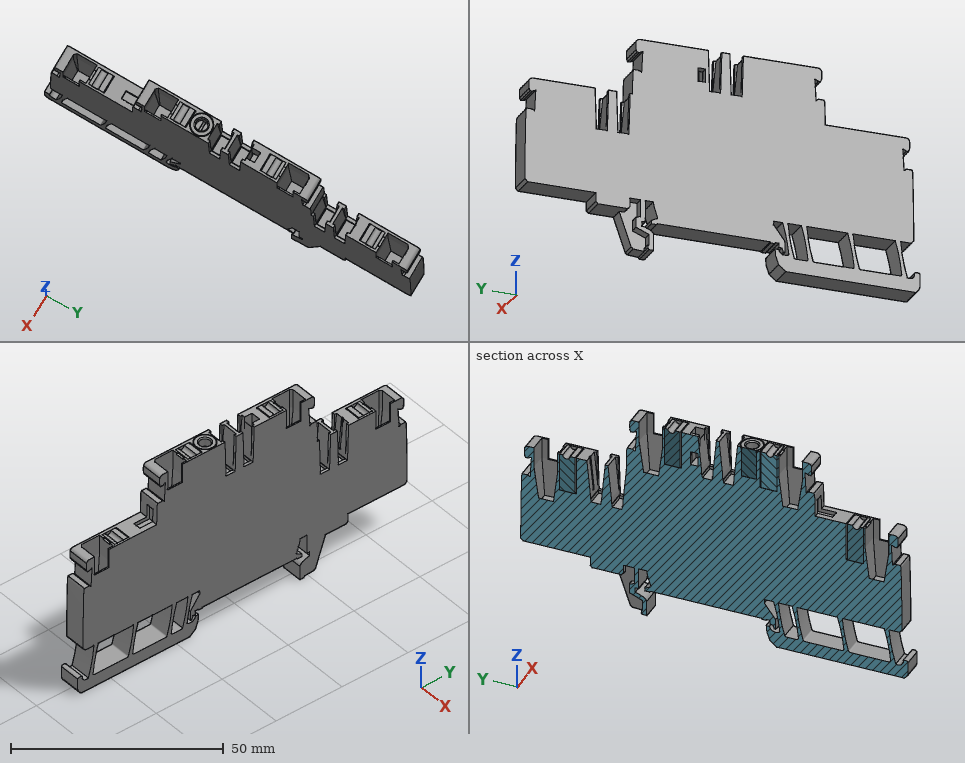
import cadquery as cq
import math


WIDTH = 6.1
LENGTH = 99.98
HEIGHT = 53.61

SHELF_Z = 39.3
BASE_Z = 12.45
LEVEL_STEP = HEIGHT - SHELF_Z

BASE_OVERHANG = 1.0
LIP_CORNER_RUN = 1.1
LIP_CORNER_DROP = 0.7
LIP_SETBACK = 0.05
LIP_UNDERCUT = 0.6
LIP_DROP = 3.4
NOTCH_DROP = 8.0
NOTCH_DEPTH = 1.75
NOTCH_HOOK = 0.4
BASE_SHOULDER = 0.6
BASE_BULGE = 0.25
BASE_CORNER = 0.7

LOWER_FRONT_LIP = 2.6
LOWER_REAR_LIP = LENGTH - BASE_OVERHANG
UPPER_FRONT_LIP = 24.85
UPPER_REAR_LIP = 71.9

SLOT_DEPTH = 10.45
SLOT_CORE_EXTRA = 0.8
SLOT_PAIR_SHIFT = 28.65
SLOT_PITCH = 5.45
SLOT_FIRST_Y = 80.5
SLOT_MOUTH = 3.4
SLOT_FLOOR = 2.75
SLOT_CORE_FLOOR = 2.4
SLOT_CORE_MOUTH = 4.6
SLOT_CORE_X = (0.9, 5.3)
SLIT_X = (2.75, 3.3)
SLIT_DEPTH = 0.2
SLIT_FLOOR_GAP = 1.5

ENTRY_START = 2.5
ENTRY_END = 8.5
ENTRY_X = (0.6, 5.7)
ENTRY_FLOOR_X = (1.25, 4.6)
ENTRY_TAPER = 1.2
ENTRY_CORNER = 0.6
ENTRY_FLOOR_CORNER = 0.15
ENTRY_DEPTH = 15.0
WINDOW_LENGTH = 4.4
WINDOW_DEPTH = 5.5
KEY_X = (1.9, 4.4)
KEY_DEPTH = 0.4

BUTTON_START = 9.1
BUTTON_LENGTH = 4.05
BUTTON_GAP = 0.25
BUTTON_X = (0.85, 5.5)
BUTTON_DEPTH = 10.0
BUTTON_GROOVE_AT = 1.75
BUTTON_GROOVE_R = 0.9

SOCKET_Y = 41.1
SOCKET_X = WIDTH / 2
SOCKET_R = 2.65
SOCKET_MOUTH_R = 2.85
SOCKET_MOUTH_DEPTH = 1.0
SOCKET_DEPTH = 8.0
SOCKET_BORE_R = 1.5
SOCKET_BORE_CHAMFER = 0.3
SCREW_RECESS = 2.5
SCREW_SLOT_WIDTH = 0.6
SCREW_SLOT_DEPTH = 0.8

LABEL_X = (1.8, 4.6)
LABEL_Y = (54.0, 56.4)
LABEL_FLOOR_Z = 45.3
LABEL_INSET = 0.25
LABEL_WINDOW_HEIGHT = 3.4
STEP_SLOT_X = (2.4, 4.6)
STEP_SLOT_Y = 20.1
STEP_SLOT_Z = 43.0
STEP_SLOT_DEPTH = 1.0

LEG_FILLET = 0.4
BAR_TOP_Z = 3.6
LEG_TOPS_Y = (34.15, 29.4, 17.7, 5.65)
LEG_LEAN = 1.75
LEG_END_THICKNESS = 1.4
LEG_WAIST_THICKNESS = 0.9

WEB_X = 2.3

TERMINALS = (
    (LOWER_REAR_LIP, -1, SHELF_Z),
    (UPPER_REAR_LIP, -1, HEIGHT),
    (UPPER_FRONT_LIP, 1, HEIGHT),
    (LOWER_FRONT_LIP, 1, SHELF_Z),
)


def plate(points, x_start=0.0, x_end=WIDTH):
    """Closed Y-Z outline extruded between two X positions."""
    outline = cq.Workplane("YZ", origin=(x_start, 0, 0)).polyline(points).close()
    return outline.extrude(x_end - x_start)


def block(x_range, y_range, z_range):
    """Box between two limits on each axis."""
    low = [min(limits) for limits in (x_range, y_range, z_range)]
    high = [max(limits) for limits in (x_range, y_range, z_range)]
    size = [b - a for a, b in zip(low, high)]
    return cq.Workplane("XY").box(*size, centered=False).translate(tuple(low))


def level_body(front_lip, rear_lip, top_z, bottom_z):
    """One terminal level with a rounded lip, a notch and a slightly curved base at each end."""
    base_drop = top_z - bottom_z - BASE_CORNER
    shoulder_drop = NOTCH_DROP + BASE_SHOULDER
    shoulder_out = BASE_OVERHANG - BASE_BULGE

    def rear(along, drop):
        return (rear_lip - along, top_z - drop)

    def front(along, drop):
        return (front_lip + along, top_z - drop)

    corner_end = (LIP_SETBACK, LIP_CORNER_DROP)
    corner_run = LIP_CORNER_RUN - LIP_SETBACK
    corner_radius = (corner_run ** 2 + LIP_CORNER_DROP ** 2) / (2 * LIP_CORNER_DROP)
    half_angle = math.asin(corner_run / corner_radius) / 2
    corner_middle = (
        LIP_CORNER_RUN - corner_radius * math.sin(half_angle),
        corner_radius * (1 - math.cos(half_angle)),
    )
    lip_end = (LIP_SETBACK, LIP_DROP - LIP_UNDERCUT)
    lip_middle = (0, (LIP_CORNER_DROP + lip_end[1]) / 2)
    notch = (
        (0.3, LIP_DROP),
        (NOTCH_DEPTH / 2, LIP_DROP),
        (NOTCH_DEPTH, LIP_DROP - NOTCH_HOOK),
        (NOTCH_DEPTH - 0.3, NOTCH_DROP + NOTCH_HOOK),
        (NOTCH_DEPTH / 2, NOTCH_DROP),
        (0.2 - shoulder_out, NOTCH_DROP),
        (-shoulder_out, shoulder_drop),
    )
    bulge_middle = (-BASE_OVERHANG + BASE_BULGE / 4, (shoulder_drop + base_drop) / 2)
    base_end = (-BASE_OVERHANG, base_drop)
    bottom = (BASE_CORNER - BASE_OVERHANG, base_drop + BASE_CORNER)

    outline = (
        cq.Workplane("YZ")
        .moveTo(*rear(LIP_CORNER_RUN, 0))
        .threePointArc(rear(*corner_middle), rear(*corner_end))
        .threePointArc(rear(*lip_middle), rear(*lip_end))
    )
    for point in notch:
        outline = outline.lineTo(*rear(*point))
    outline = outline.threePointArc(rear(*bulge_middle), rear(*base_end)).lineTo(*rear(*bottom))
    outline = outline.lineTo(*front(*bottom)).lineTo(*front(*base_end))
    outline = outline.threePointArc(front(*bulge_middle), front(*notch[-1]))
    for point in notch[-2::-1]:
        outline = outline.lineTo(*front(*point))
    outline = (
        outline.lineTo(*front(*lip_end))
        .threePointArc(front(*lip_middle), front(*corner_end))
        .threePointArc(front(*corner_middle), front(LIP_CORNER_RUN, 0))
    )
    return outline.close().extrude(WIDTH)


def support_block():
    """Pad below the housing behind the rail latch."""
    return plate([
        (82.05, BASE_Z), (82.05, 10.2), (81.5, 9.67), (74.0, 9.67), (73.4, 10.25), (73.4, BASE_Z),
    ])


def rail_seat():
    """Part of the housing that rests on the rail, with the catch nose and the hook."""
    return plate([
        (67.5, BASE_Z), (67.3, 11.2), (66.4, 8.4), (68.0, 7.6), (68.0, 6.75), (66.7, 6.75), (66.5, 7.0),
        (37.9, 7.0), (37.8, 6.75), (36.7, 6.75), (36.6, 7.0), (35.7, 7.0), (35.7, 5.95), (35.0, 5.9),
        (34.6, 4.9), (34.2, 4.9), (34.2, 7.7), (37.1, 11.6), (37.0, BASE_Z),
    ])


def rail_latch():
    """Cranked latch arm with a rib along its rear side."""
    arm = (
        cq.Workplane("YZ")
        .polyline([(71.9, 7.8), (70.7, 8.15), (70.7, BASE_Z), (69.5, BASE_Z), (69.5, 6.95), (70.4, 6.95),
                   (70.4, 5.8), (69.65, 5.65), (68.6, 5.2)])
        .threePointArc((67.8, 4.7), (67.4, 4.1))
        .lineTo(67.4, 0)
        .lineTo(68.6, 0)
        .lineTo(68.9, 0.4)
        .lineTo(68.9, 1.2)
        .lineTo(68.6, 1.2)
        .lineTo(68.6, 3.9)
        .lineTo(71.9, 5.2)
        .close()
        .extrude(WIDTH)
    )
    web = plate([
        (75.2, BASE_Z), (75.2, 9.6), (72.2, 1.05), (71.7, 0.6), (69.9, 0.5), (68.9, 0.4), (68.5, 1.2),
        (68.5, 3.9), (71.8, 5.2), (71.8, 7.8), (70.6, 8.15), (70.6, BASE_Z),
    ], WEB_X)
    return arm.union(web)


def foot_bar():
    """Long foot below the front of the housing with an upturned end and a hook pocket."""
    return (
        cq.Workplane("YZ")
        .moveTo(1.1, 0)
        .lineTo(34.0, 0)
        .lineTo(35.8, 1.5)
        .lineTo(36.55, BAR_TOP_Z)
        .lineTo(36.7, 5.4)
        .lineTo(35.8, 5.4)
        .threePointArc((34.5, 4.2), (33.0, 4.7))
        .lineTo(31.5, BAR_TOP_Z)
        .lineTo(3.4, BAR_TOP_Z)
        .threePointArc((2.4, 3.4), (1.4, 4.9))
        .threePointArc((0.9, 5.15), (0, 4.8))
        .lineTo(0, 1.9)
        .threePointArc((0.35, 0.75), (1.1, 0))
        .close()
        .extrude(WIDTH)
    )


def spring_leg(top_y):
    """Leaning leg that thins towards its middle."""
    overlap = 0.2
    top_z = BASE_Z + overlap
    bottom_z = BAR_TOP_Z - overlap
    half_end = LEG_END_THICKNESS / 2
    half_waist = LEG_WAIST_THICKNESS / 2
    bottom_y = top_y - LEG_LEAN
    middle_y = (top_y + bottom_y) / 2
    middle_z = (top_z + bottom_z) / 2
    return (
        cq.Workplane("YZ")
        .moveTo(top_y + half_end, top_z)
        .threePointArc((middle_y + half_waist, middle_z), (bottom_y + half_end, bottom_z))
        .lineTo(bottom_y - half_end, bottom_z)
        .threePointArc((middle_y - half_waist, middle_z), (top_y - half_end, top_z))
        .close()
        .extrude(WIDTH)
    )


def fillet_legs(body):
    """Round the corners where the legs meet the foot bar between the windows."""
    margin = 0.1
    first_y = LEG_TOPS_Y[-1] - LEG_LEAN
    last_y = LEG_TOPS_Y[0] - LEG_LEAN
    corners = cq.selectors.BoxSelector(
        (0, first_y, BAR_TOP_Z - margin), (WIDTH, last_y, BAR_TOP_Z + margin))
    return body.edges("|X").edges(corners).fillet(LEG_FILLET)


def jumper_slot(center_y, top_z):
    """Tapered slot through both side walls with a wider core between them."""
    def wedge(mouth, floor, depth, x_range):
        floor_z = top_z - depth
        return plate([
            (center_y - mouth / 2, top_z), (center_y - floor / 2, floor_z),
            (center_y + floor / 2, floor_z), (center_y + mouth / 2, top_z),
        ], *x_range)

    through = wedge(SLOT_MOUTH, SLOT_FLOOR, SLOT_DEPTH, (0, WIDTH))
    core = wedge(SLOT_CORE_MOUTH, SLOT_CORE_FLOOR, SLOT_DEPTH + SLOT_CORE_EXTRA, SLOT_CORE_X)
    return through.union(core)


def wall_slit():
    """Narrow vertical slit in the rear wall of the rearmost jumper slot."""
    rear_y = SLOT_FIRST_Y + SLOT_CORE_MOUTH / 2 + SLIT_DEPTH
    floor_z = SHELF_Z - SLOT_DEPTH + SLIT_FLOOR_GAP
    return block(SLIT_X, (SLOT_FIRST_Y, rear_y), (floor_z, SHELF_Z))


def wire_entry(lip_y, inward, top_z):
    """Funnel for the wire, open to the +X side along its front part."""
    def ring(start, end, x_range, corner):
        y_start = lip_y + inward * start
        y_end = lip_y + inward * end
        return [
            (x_range[0], y_start + inward * corner), (x_range[0] + corner, y_start),
            (x_range[1], y_start), (x_range[1], y_end), (x_range[0], y_end),
        ]

    mouth = ring(ENTRY_START, ENTRY_END, ENTRY_X, ENTRY_CORNER)
    floor = ring(ENTRY_START + ENTRY_TAPER, ENTRY_END - ENTRY_TAPER, ENTRY_FLOOR_X,
                 ENTRY_FLOOR_CORNER)
    throat_z = top_z - WINDOW_DEPTH
    throat = cq.Workplane("XY", origin=(0, 0, throat_z)).polyline(mouth).close().extrude(WINDOW_DEPTH)
    funnel = (
        cq.Workplane("XY", origin=(0, 0, throat_z))
        .polyline(mouth).close()
        .workplane(offset=WINDOW_DEPTH - ENTRY_DEPTH)
        .polyline(floor).close()
        .loft(ruled=True)
    )
    low_y = min(y for _, y in mouth)
    window = block((ENTRY_X[1], WIDTH), (low_y, low_y + WINDOW_LENGTH), (throat_z, top_z))
    key_y = (lip_y + inward * ENTRY_END, lip_y + inward * BUTTON_START)
    key = block(KEY_X, key_y, (top_z - KEY_DEPTH, top_z))
    return throat.union(funnel).union(window).union(key)


def button_recess(lip_y, inward, top_z):
    """Recess for a push button with a small clearance at its inner end."""
    start_y = lip_y + inward * BUTTON_START
    end_y = start_y + inward * (BUTTON_LENGTH + BUTTON_GAP)
    return block(BUTTON_X, (start_y, end_y), (top_z - BUTTON_DEPTH, top_z))


def push_button(lip_y, inward, top_z):
    """Push button with a round screwdriver groove across its top."""
    start_y = lip_y + inward * BUTTON_START
    end_y = start_y + inward * BUTTON_LENGTH
    body = block(BUTTON_X, (start_y, end_y), (top_z - BUTTON_DEPTH, top_z))
    groove_y = start_y + inward * BUTTON_GROOVE_AT
    groove = cq.Workplane("YZ").center(groove_y, top_z).circle(BUTTON_GROOVE_R).extrude(WIDTH)
    return body.cut(groove)


def socket_cylinder(radius, bottom_z, top_z):
    """Cylinder on the test socket axis."""
    base = cq.Workplane("XY", origin=(SOCKET_X, SOCKET_Y, bottom_z))
    return base.circle(radius).extrude(top_z - bottom_z)


def socket_hole():
    """Hole for the test socket with a flared mouth."""
    hole = socket_cylinder(SOCKET_R, HEIGHT - SOCKET_DEPTH, HEIGHT)
    mouth = cq.Workplane("XY").add(cq.Solid.makeCone(
        SOCKET_R, SOCKET_MOUTH_R, SOCKET_MOUTH_DEPTH,
        cq.Vector(SOCKET_X, SOCKET_Y, HEIGHT - SOCKET_MOUTH_DEPTH)))
    return hole.union(mouth)


def test_socket():
    """Sleeve with a chamfered bore."""
    sleeve = socket_cylinder(SOCKET_R, HEIGHT - SOCKET_DEPTH, HEIGHT)
    bore = socket_cylinder(SOCKET_BORE_R, HEIGHT - SOCKET_DEPTH, HEIGHT)
    bore_edge = cq.selectors.RadiusNthSelector(0)
    return sleeve.cut(bore).faces(">Z").edges(bore_edge).chamfer(SOCKET_BORE_CHAMFER)


def test_screw():
    """Slotted screw sunk in the bore of the test socket."""
    top_z = HEIGHT - SCREW_RECESS
    half_slot = SCREW_SLOT_WIDTH / 2
    slot_y = (SOCKET_Y - half_slot, SOCKET_Y + half_slot)
    slot = block((0, WIDTH), slot_y, (top_z - SCREW_SLOT_DEPTH, top_z))
    return socket_cylinder(SOCKET_BORE_R, HEIGHT - SOCKET_DEPTH, top_z).cut(slot)


def label_slot():
    """Slot in the upper top face with a window to the -X side."""
    depth = HEIGHT - LABEL_FLOOR_Z
    slot = (
        cq.Workplane("XY", origin=(sum(LABEL_X) / 2, sum(LABEL_Y) / 2, HEIGHT))
        .rect(LABEL_X[1] - LABEL_X[0], LABEL_Y[1] - LABEL_Y[0])
        .extrude(-depth, taper=math.degrees(math.atan(LABEL_INSET / depth)))
    )
    inner_y = (LABEL_Y[0] + LABEL_INSET, LABEL_Y[1] - LABEL_INSET)
    window_z = (LABEL_FLOOR_Z, LABEL_FLOOR_Z + LABEL_WINDOW_HEIGHT)
    return slot.union(block((0, LABEL_X[0] + LABEL_INSET), inner_y, window_z))


def step_slot():
    """L-shaped slot over the inner corner between the front shelf and the upper level."""
    wall_y = UPPER_FRONT_LIP - BASE_OVERHANG
    shelf_part = block(STEP_SLOT_X, (STEP_SLOT_Y, wall_y), (SHELF_Z - STEP_SLOT_DEPTH, SHELF_Z))
    wall_part = block(
        STEP_SLOT_X, (wall_y, wall_y + STEP_SLOT_DEPTH), (SHELF_Z - STEP_SLOT_DEPTH, STEP_SLOT_Z))
    return shelf_part.union(wall_part)


def make_housing():
    """Housing with foot, latch and all openings."""
    body = level_body(LOWER_FRONT_LIP, LOWER_REAR_LIP, SHELF_Z, BASE_Z)
    body = body.union(level_body(UPPER_FRONT_LIP, UPPER_REAR_LIP, HEIGHT, BASE_Z + LEVEL_STEP))
    for extra in (support_block(), rail_seat(), rail_latch(), foot_bar()):
        body = body.union(extra)
    for top_y in LEG_TOPS_Y:
        body = body.union(spring_leg(top_y))
    body = fillet_legs(body)
    for level, top_z in enumerate((SHELF_Z, HEIGHT)):
        for index in range(2):
            center_y = SLOT_FIRST_Y - level * SLOT_PAIR_SHIFT - index * SLOT_PITCH
            body = body.cut(jumper_slot(center_y, top_z))
    for terminal in TERMINALS:
        body = body.cut(wire_entry(*terminal)).cut(button_recess(*terminal))
    for opening in (wall_slit(), socket_hole(), label_slot(), step_slot()):
        body = body.cut(opening)
    return body


housing = make_housing()
buttons = [push_button(*terminal) for terminal in TERMINALS]
socket = test_socket()
screw = test_screw()

result = cq.Compound.makeCompound(
    [housing.val(), *[button.val() for button in buttons], socket.val(), screw.val()])